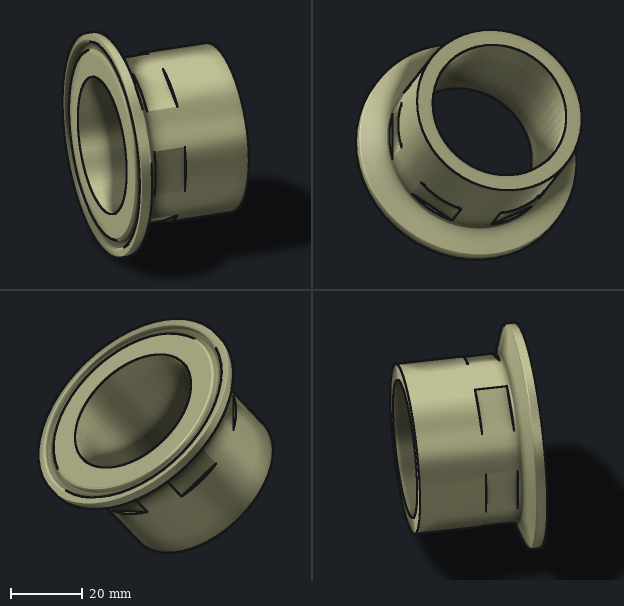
import cadquery as cq
import math

length = 35.0
flange_radius = 32.0
tube_radius = 24.1
bore_radius = 19.5

rim_height = 2.95
cone_angle = math.radians(20)
blend_radius = 0.8
face_edge_radius = 0.2

groove_center_radius = 28.255
groove_half_width = 1.95
groove_bottom_radius = 1.15
groove_lip_radius = 0.8

across_flats = 46.35
flats_start = 7.0
flats_end = 16.05


def make_body():
    """Revolve the solid ferrule outline about Y and round its outer edges."""
    cone_top = rim_height + (flange_radius - tube_radius) * math.tan(cone_angle)
    body = (
        cq.Workplane("XY")
        .polyline([
            (0, 0),
            (flange_radius, 0),
            (flange_radius, rim_height),
            (tube_radius, cone_top),
            (tube_radius, length),
            (0, length),
        ])
        .close()
        .revolve(360, (0, 0), (0, 1))
    )
    edge_reach = 0.05

    def circles_at(height):
        return cq.selectors.BoxSelector(
            (-flange_radius * 2, height - edge_reach, -flange_radius * 2),
            (flange_radius * 2, height + edge_reach, flange_radius * 2),
        )

    body = body.edges("%CIRCLE").edges(circles_at(cone_top)).fillet(blend_radius)
    body = body.edges("%CIRCLE").edges(circles_at(rim_height)).fillet(blend_radius)
    return body.edges("%CIRCLE").edges(circles_at(0)).fillet(face_edge_radius)


def make_groove():
    """Ring cutter whose bottom arc is tangent to a lip arc on either side."""
    radius_sum = groove_bottom_radius + groove_lip_radius
    wall_angle = math.asin(groove_half_width / radius_sum)
    depth = radius_sum * (1 - math.cos(wall_angle))

    def lip_point(side, angle):
        offset = groove_half_width - groove_lip_radius * math.sin(angle)
        height = groove_lip_radius * (1 - math.cos(angle))
        return (groove_center_radius + side * offset, height)

    return (
        cq.Workplane("XY")
        .moveTo(*lip_point(-1, 0))
        .threePointArc(lip_point(-1, wall_angle / 2), lip_point(-1, wall_angle))
        .threePointArc((groove_center_radius, depth), lip_point(1, wall_angle))
        .threePointArc(lip_point(1, wall_angle / 2), lip_point(1, 0))
        .close()
        .revolve(360, (0, 0), (0, 1))
    )


def make_flats():
    """Ring cutter with a hexagonal inside, leaving six flats on the tube."""
    corner_diameter = across_flats / math.cos(math.pi / 6)
    height = flats_end - flats_start
    plane = cq.Plane(origin=(0, flats_start, 0), xDir=(0, 0, 1), normal=(0, 1, 0))
    hexagon = cq.Workplane(plane).polygon(6, corner_diameter).extrude(height)
    return cq.Workplane(plane).circle(flange_radius).extrude(height).cut(hexagon)


bore = cq.Workplane("XZ").circle(bore_radius).extrude(-length)
result = make_body().cut(bore).cut(make_groove()).cut(make_flats())